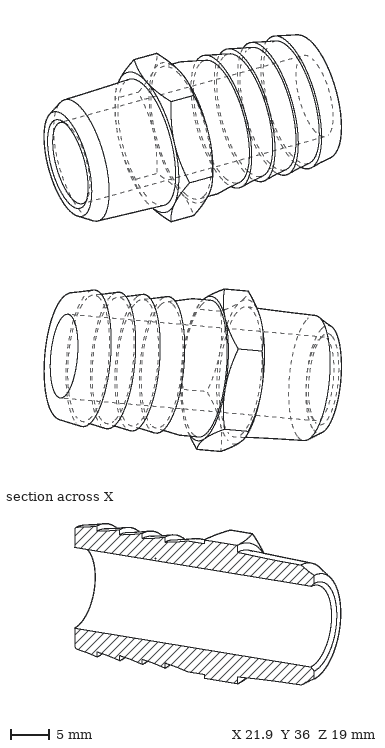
import cadquery as cq
import math

total_length = 36.0
bore_radius = 5.5
bore_chamfer = 0.5

spigot_length = 11.52
spigot_base_radius = 8.55
spigot_end_radius = 8.25
tip_chamfer_length = 1.98
tip_chamfer_angle = 30.0

hex_sides = 6
hex_across_flats = 19.0
hex_width = 5.0
hex_chamfer_angle = 30.0

hose_radius = 9.0
barb_root_radius = 8.3
barb_count = 5
barbed_length = 17.0
barb_edge_fillet = 0.5

tip_radius = spigot_end_radius - tip_chamfer_length * math.tan(math.radians(tip_chamfer_angle))
hex_end = spigot_length + hex_width
barbs_start = total_length - barbed_length
barb_pitch = barbed_length / barb_count
hex_corner_radius = hex_across_flats / 2 / math.cos(math.pi / hex_sides)
hex_chamfer_drop = (hex_corner_radius - hex_across_flats / 2) * math.tan(math.radians(hex_chamfer_angle))


def revolve_about_y(points):
    """Revolve a closed (radius, y) outline about the Y axis."""
    return cq.Workplane("XY").polyline(points).close().revolve(360, (0, 0, 0), (0, 1, 0))


def make_spigot():
    return revolve_about_y([
        (0, 0),
        (tip_radius, 0),
        (spigot_end_radius, tip_chamfer_length),
        (spigot_base_radius, spigot_length),
        (0, spigot_length),
    ])


def make_hexagon():
    """Hexagonal prism, flats facing +Z and -Z, corners turned off at both ends."""
    prism = (
        cq.Workplane("XZ", origin=(0, spigot_length, 0))
        .polygon(hex_sides, 2 * hex_corner_radius)
        .extrude(-hex_width)
    )
    turned_envelope = revolve_about_y([
        (0, spigot_length),
        (hex_across_flats / 2, spigot_length),
        (hex_corner_radius, spigot_length + hex_chamfer_drop),
        (hex_corner_radius, hex_end - hex_chamfer_drop),
        (hex_across_flats / 2, hex_end),
        (0, hex_end),
    ])
    return prism.intersect(turned_envelope)


def make_hose_tail():
    """Plain collar, then barbs that each narrow towards the hose end."""
    outline = [(0, hex_end), (hose_radius, hex_end)]
    for i in range(barb_count):
        barb_base = barbs_start + i * barb_pitch
        outline.append((hose_radius, barb_base))
        outline.append((barb_root_radius, barb_base + barb_pitch))
    outline.append((0, total_length))
    return revolve_about_y(outline).faces(">Y").edges().fillet(barb_edge_fillet)


def make_bore():
    """Through bore, widened by a 45 degree chamfer at the spigot tip."""
    return revolve_about_y([
        (0, 0),
        (bore_radius + bore_chamfer, 0),
        (bore_radius, bore_chamfer),
        (bore_radius, total_length),
        (0, total_length),
    ])


result = make_spigot().union(make_hexagon()).union(make_hose_tail()).cut(make_bore())